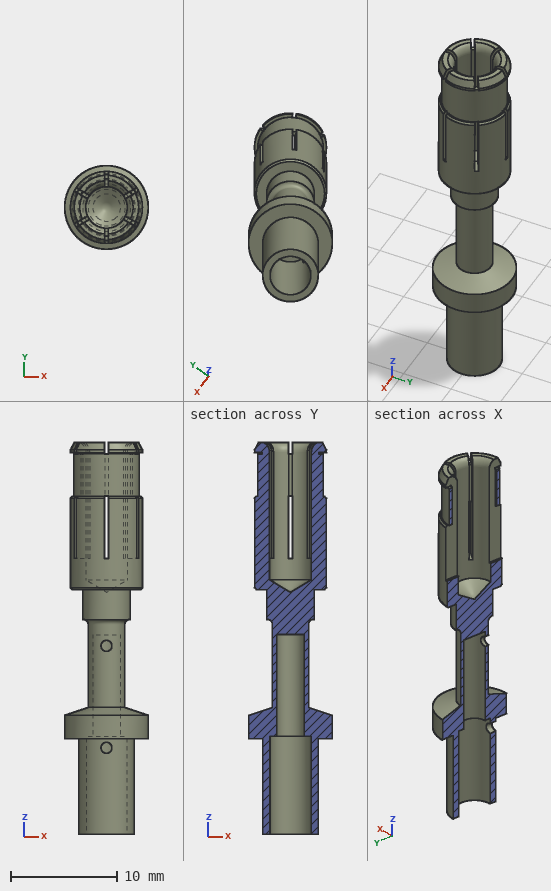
import cadquery as cq
import math


total_length = 36.95
flange_bottom = 9.0
flange_top = 11.25
cone_top = 11.97
hub_bottom = 20.25
body_bottom = 23.05
body_top = 31.9
lip_bottom = 36.0
lip_edge = 36.25
sleeve_top = 35.88

barrel_radius = 2.62
flange_radius = 3.95
shaft_radius = 1.75
hub_radius = 2.25
body_radius = 3.4
neck_radius = 2.7
sleeve_radius = 3.1
lip_radius = body_radius

hub_fillet = 0.45
body_chamfer = 0.2
lip_top_radius = 3.03

socket_radius = 1.95
socket_floor = 24.0
drill_tip_angle = 118.0
mouth_radius = 2.5
mouth_depth = 0.9
mouth_width = mouth_radius - socket_radius
mouth_round = (mouth_depth**2 + mouth_width**2) / (2 * mouth_width)

slot_count = 6
slot_width = 0.37
slot_bottom = 26.0

wire_bore_radius = 1.92
wire_bore_top = 9.25
shaft_bore_radius = 1.3
shaft_bore_top = 18.85
cross_hole_radius = 0.5
cross_hole_levels = [8.15, 17.77]


def cylinder(radius, bottom, top):
    return cq.Workplane("XY").workplane(offset=bottom).circle(radius).extrude(top - bottom)


def turned_body():
    profile = (
        cq.Workplane("XZ")
        .lineTo(barrel_radius, 0)
        .lineTo(barrel_radius, flange_bottom)
        .lineTo(flange_radius, flange_bottom)
        .lineTo(flange_radius, flange_top)
        .lineTo(shaft_radius, cone_top)
        .lineTo(shaft_radius, hub_bottom - hub_fillet)
        .radiusArc((shaft_radius + hub_fillet, hub_bottom), hub_fillet)
        .lineTo(hub_radius, hub_bottom)
        .lineTo(hub_radius, body_bottom)
        .lineTo(body_radius - body_chamfer, body_bottom)
        .lineTo(body_radius, body_bottom + body_chamfer)
        .lineTo(body_radius, body_top - body_chamfer)
        .lineTo(body_radius - body_chamfer, body_top)
        .lineTo(neck_radius, body_top)
        .lineTo(neck_radius, lip_bottom)
        .lineTo(lip_radius, lip_bottom)
        .lineTo(lip_radius, lip_edge)
        .lineTo(lip_top_radius, total_length)
        .lineTo(0, total_length)
        .close()
    )
    return profile.revolve(360, (0, 0, 0), (0, 1, 0))


def socket_bore():
    tip_depth = socket_radius / math.tan(math.radians(drill_tip_angle / 2))
    profile = (
        cq.Workplane("XZ")
        .moveTo(0, socket_floor - tip_depth)
        .lineTo(socket_radius, socket_floor)
        .lineTo(socket_radius, total_length - mouth_depth)
        .radiusArc((mouth_radius, total_length), mouth_round)
        .lineTo(0, total_length)
        .close()
    )
    return profile.revolve(360, (0, 0, 0), (0, 1, 0))


def slots():
    cutters = cq.Workplane("XY")
    for index in range(slot_count):
        cutter = (
            cq.Workplane("XY")
            .workplane(offset=slot_bottom)
            .center(0, body_radius)
            .rect(slot_width, 2 * body_radius)
            .extrude(total_length - slot_bottom)
            .rotate((0, 0, 0), (0, 0, 1), index * 360 / slot_count)
        )
        cutters = cutters.union(cutter)
    return cutters


def wire_bore():
    wide = cylinder(wire_bore_radius, 0, wire_bore_top)
    narrow = cylinder(shaft_bore_radius, 0, shaft_bore_top)
    return wide.union(narrow)


def cross_hole(level):
    return cq.Workplane("XZ").center(0, level).circle(cross_hole_radius).extrude(barrel_radius)


def spring_sleeve():
    outer = cylinder(sleeve_radius, body_top, sleeve_top)
    return outer.cut(cylinder(neck_radius, body_top, sleeve_top))


result = turned_body().cut(socket_bore()).cut(slots()).cut(wire_bore())
for hole_level in cross_hole_levels:
    result = result.cut(cross_hole(hole_level))
result = result.union(spring_sleeve())